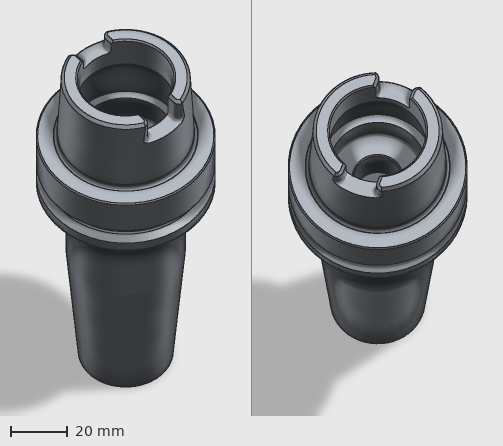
import cadquery as cq
import math

taper_top = 32.0
nose_bottom = -120.0

taper_gauge_diameter = 48.04
taper_gauge_height = 6.0
taper_ratio = 1 / 10
rim_chamfer = 1.1
rim_chamfer_angle = 45.0
relief_top = 2.1
relief_lead = 0.4
relief_fillet = 1.2
face_recess_diameter = 51.0
face_recess_depth = 0.2

flange_diameter = 63.0
flange_bottom = -26.0
flange_edge_chamfer = 0.5
groove_diameter = 55.0
groove_flank_top = -14.5
groove_floor_top = -16.4
groove_floor_bottom = -20.0
groove_flank_bottom = -21.5
groove_lip = 2.9

neck_diameter = 42.0
neck_fillet = 3.0
neck_bottom = -63.0
nose_diameter = 33.5
nose_chamfer = 1.0

cavity_diameter = 34.0
cavity_mouth_chamfer = 0.6
cavity_floor = -10.0
cavity_floor_fillet = 1.2
undercut_diameter = 40.0
undercut_top = 18.9
undercut_bottom = 0.0
thread_diameter = 17.0
thread_mouth_diameter = 18.0
thread_bottom = -25.0
coolant_diameter = 8.4

keyway_width = 12.54
keyway_corner_radius = 2.6
keyway_floor_fillet = 1.5
keyway_flare = 8.0
shallow_keyway_depth = 6.0
deep_keyway_depth = 10.0


def taper_radius(height):
    """Radius of the shank taper at a given height."""
    return taper_gauge_diameter / 2 - (height - taper_gauge_height) * taper_ratio / 2


def make_body():
    """Revolve the outer outline around Z."""
    flange_radius = flange_diameter / 2
    groove_radius = groove_diameter / 2
    neck_radius = neck_diameter / 2
    nose_radius = nose_diameter / 2
    recess_radius = face_recess_diameter / 2
    relief_radius = taper_gauge_diameter / 2
    lip_radius = flange_radius - groove_lip
    outline = (
        cq.Workplane("XZ")
        .moveTo(0, taper_top)
        .lineTo(taper_radius(taper_top) - rim_chamfer, taper_top)
        .lineTo(taper_radius(taper_top - rim_chamfer), taper_top - rim_chamfer)
        .lineTo(taper_radius(relief_top), relief_top)
        .lineTo(relief_radius, relief_top - relief_lead)
        .lineTo(relief_radius, relief_fillet - face_recess_depth)
        .radiusArc((relief_radius + relief_fillet, -face_recess_depth), -relief_fillet)
        .lineTo(recess_radius - face_recess_depth, -face_recess_depth)
        .lineTo(recess_radius, 0)
        .lineTo(flange_radius - flange_edge_chamfer, 0)
        .lineTo(flange_radius, -flange_edge_chamfer)
        .lineTo(flange_radius, groove_flank_top)
        .lineTo(lip_radius, groove_floor_top)
        .lineTo(groove_radius, groove_floor_top)
        .lineTo(groove_radius, groove_floor_bottom)
        .lineTo(lip_radius, groove_floor_bottom)
        .lineTo(flange_radius, groove_flank_bottom)
        .lineTo(flange_radius, flange_bottom + flange_edge_chamfer)
        .lineTo(flange_radius - flange_edge_chamfer, flange_bottom)
        .lineTo(neck_radius + neck_fillet, flange_bottom)
        .radiusArc((neck_radius, flange_bottom - neck_fillet), -neck_fillet)
        .lineTo(neck_radius, neck_bottom)
        .lineTo(nose_radius, nose_bottom + nose_chamfer)
        .lineTo(nose_radius - nose_chamfer, nose_bottom)
        .lineTo(0, nose_bottom)
        .close()
    )
    return outline.revolve(360, (0, 0), (0, 1))


def make_bore():
    """Revolve the clamping cavity and the coolant holes below it."""
    cavity_radius = cavity_diameter / 2
    undercut_radius = undercut_diameter / 2
    thread_radius = thread_diameter / 2
    thread_mouth_radius = thread_mouth_diameter / 2
    coolant_radius = coolant_diameter / 2
    outline = (
        cq.Workplane("XZ")
        .moveTo(0, taper_top)
        .lineTo(cavity_radius + cavity_mouth_chamfer, taper_top)
        .lineTo(cavity_radius, taper_top - cavity_mouth_chamfer)
        .lineTo(cavity_radius, undercut_top)
        .lineTo(undercut_radius, undercut_top)
        .lineTo(undercut_radius, undercut_bottom)
        .lineTo(cavity_radius, undercut_bottom)
        .lineTo(cavity_radius, cavity_floor + cavity_floor_fillet)
        .radiusArc((cavity_radius - cavity_floor_fillet, cavity_floor), cavity_floor_fillet)
        .lineTo(thread_mouth_radius, cavity_floor)
        .lineTo(thread_radius, cavity_floor - (thread_mouth_radius - thread_radius))
        .lineTo(thread_radius, thread_bottom)
        .lineTo(coolant_radius, thread_bottom)
        .lineTo(coolant_radius, nose_bottom)
        .lineTo(0, nose_bottom)
        .close()
    )
    return outline.revolve(360, (0, 0), (0, 1))


def keyway_outline(height, corner_circle):
    """Closed outline of the +X keyway on a horizontal plane.

    Each rim corner is an arc from the keyway wall to a circle around Z of radius
    corner_circle, and the outline leaves that circle along its tangent.
    """
    half_width = keyway_width / 2
    arc_y = half_width + keyway_corner_radius
    arc_x = math.sqrt((corner_circle - keyway_corner_radius) ** 2 - arc_y**2)
    angle = math.atan2(arc_y, arc_x)
    tangent_x = corner_circle * math.cos(angle)
    tangent_y = corner_circle * math.sin(angle)
    end_x = tangent_x - keyway_flare * math.sin(angle)
    end_y = tangent_y + keyway_flare * math.cos(angle)
    outer = flange_diameter / 2
    return (
        cq.Workplane("XY")
        .workplane(offset=height)
        .moveTo(0, -half_width)
        .lineTo(arc_x, -half_width)
        .radiusArc((tangent_x, -tangent_y), keyway_corner_radius)
        .lineTo(end_x, -end_y)
        .lineTo(outer, -end_y)
        .lineTo(outer, end_y)
        .lineTo(end_x, end_y)
        .lineTo(tangent_x, tangent_y)
        .radiusArc((arc_x, half_width), keyway_corner_radius)
        .lineTo(0, half_width)
        .close()
    )


def make_keyway(side, depth):
    """Cutter for one keyway with rounded floor edges and a chamfered rim.

    side is +1 for +X and -1 for -X.
    """
    floor = taper_top - depth
    corner_circle = taper_radius(floor)
    corner_reach = flange_diameter / 2
    cutter = keyway_outline(floor, corner_circle).extrude(depth)
    margin = 1.0
    wall_edges = cq.selectors.BoxSelector(
        (margin, -corner_reach, floor - margin),
        (corner_circle - margin, corner_reach, floor + margin),
    )
    cutter = cutter.edges(wall_edges).fillet(keyway_floor_fillet)
    flare_outline = keyway_outline(taper_top - rim_chamfer, corner_circle)
    flare = flare_outline.extrude(rim_chamfer, taper=-rim_chamfer_angle)
    cutter = cutter.union(flare)
    if side < 0:
        cutter = cutter.mirror("YZ")
    return cutter


result = make_body()
result = result.cut(make_keyway(-1, shallow_keyway_depth))
result = result.cut(make_keyway(1, deep_keyway_depth))
result = result.cut(make_bore())